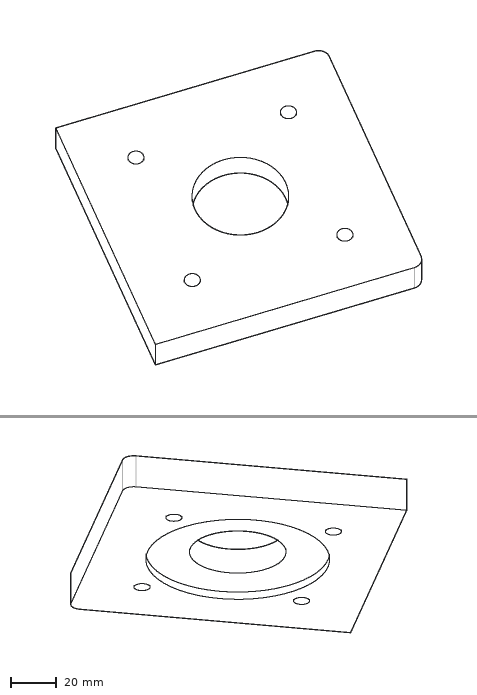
import cadquery as cq

side = 125.0
thickness = 15.0
corner_radius = 5.0

bore_diameter = 42.0
recess_diameter = 80.0
recess_depth = 3.5

bolt_circle_diameter = 100.0
bolt_hole_diameter = 7.0
bolt_count = 4
first_bolt_angle = 45.0

plate = (
    cq.Workplane("XY")
    .rect(side, side)
    .extrude(thickness)
    .edges("|Z and >Y")
    .fillet(corner_radius)
)

bore = cq.Workplane("XY").circle(bore_diameter / 2).extrude(thickness)

recess = cq.Workplane("XY").circle(recess_diameter / 2).extrude(recess_depth)

bolt_holes = (
    cq.Workplane("XY")
    .polarArray(bolt_circle_diameter / 2, first_bolt_angle, 360, bolt_count)
    .circle(bolt_hole_diameter / 2)
    .extrude(thickness)
)

result = plate.cut(bore).cut(recess).cut(bolt_holes)